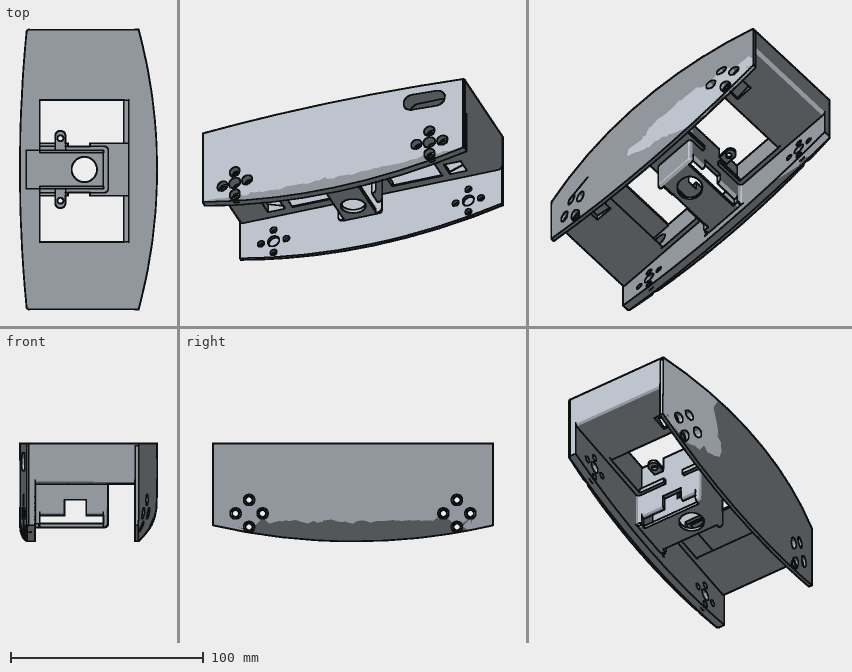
import cadquery as cq
import math

WIDTH = 71.35
LENGTH = 145.4
HEIGHT = 50.84
CUT_MARGIN = 5.0
half_length = LENGTH / 2

left_end_x = 3.6
left_foot_x = 3.9
left_curl_depth = 41.9
left_curl_mid = (0.28, 0.64)
left_curl_end_slope = 0.2
right_end_x = 61.7
right_foot_x = 61.6
right_curl_depth = 26.3
right_curl_mid = (0.26, 0.62)
right_curl_end_slope = 0.38
skirt_end_depth = 42.5
shell_sections = 9

end_inset = 0.15
end_inset_x = (4.7, 60.0)
end_wall = 2.2
end_bottom_radius = 2.0
corner_chamfer = (1.1, 0.7)

top_plate = 1.3
bracket_top = 18.2
channel_top = 21.1
left_inner_x = 8.0
cavity_right_x = 56.5
cavity_fillet = 2.6
channel_right_x = 59.7
ramp_start_y = 41.5
ramp_slope = 0.364
ramp_hole_size = 9.4
ramp_hole_x = 45.3
ramp_hole_offset = 4.2

opening_left_x = 10.4
opening_y = (-37.5, 36.0)

pocket_left_x = 3.5
pocket_right_x = 43.4
pocket_half_y = 9.9
holder_right_x = 45.9
holder_half_y = 12.0
holder_top = 1.0
holder_corner_radius = 2.0
leg_bottom = 37.4
leg_bottom_radius = 1.7
leg_notch_x = (23.3, 34.5)
leg_notch_top = 29.3
root_fillet = 1.8
floor_top = 41.5
floor_bottom = 43.6
floor_half_y = 8.9
floor_hole_diameter = 13.0
floor_hole_x = 33.5
bracket_half_y = 13.7
left_bracket_end_x = 25.1
right_bracket_start_x = 36.4

ear_x = 21.1
ear_width = 5.4
ear_tip_y = 20.1
ear_top = 8.6
ear_thickness = 2.0
ear_hole_diameter = 3.0
ear_hole_y = 16.2

mount_y = 53.9
mount_depth = 36.3
mount_hole_radius = 7.0
screw_diameter = 3.5
screw_head_diameter = 5.7
screw_head_depth = 4.0
shaft_diameter = 6.3
shaft_recess_depth = 1.8
slot_y = (-62.3, -40.0)
slot_depths = (4.8, 14.2)


def block(x, y, depths):
    """Box between two x values, two y values and two depths below the top face."""
    size = (x[1] - x[0], y[1] - y[0], depths[1] - depths[0])
    return cq.Workplane("XY").box(*size, centered=False).translate((x[0], y[0], -depths[1]))


def symmetric_block(x, half_y, depths):
    return block(x, (-half_y, half_y), depths)


def rod(diameter, x, y, depth):
    """Cylinder along X between two x values."""
    plane = cq.Workplane("YZ", origin=(x[0], y, -depth))
    return plane.circle(diameter / 2).extrude(x[1] - x[0])


def both_ends(solid):
    return solid.union(solid.mirror("XZ"))


def bow(end_value, middle_value, y):
    """Circular arc that passes end_value at both ends and middle_value at y = 0."""
    rise = abs(middle_value - end_value)
    radius = (half_length**2 + rise**2) / (2 * rise)
    drop = radius - math.sqrt(radius**2 - y**2)
    return middle_value + math.copysign(drop, end_value - middle_value)


def left_face_x(y):
    return bow(left_end_x, 0, y)


def right_face_x(y):
    return bow(right_end_x, WIDTH, y)


def shell_section(y):
    """Cross-section at y: upright sides that curl inward to the foot at the bottom."""
    left_x = left_face_x(y)
    right_x = right_face_x(y)
    foot_z = -bow(skirt_end_depth, HEIGHT, y)

    left_width = left_foot_x - left_x
    left_height = -left_curl_depth - foot_z
    left_mid = (
        left_x + left_curl_mid[0] * left_width,
        -left_curl_depth - left_curl_mid[1] * left_height,
    )
    left_end_tangent = (-left_width, left_curl_end_slope * left_height)

    right_width = right_x - right_foot_x
    right_height = -right_curl_depth - foot_z
    right_mid = (
        right_x - right_curl_mid[0] * right_width,
        -right_curl_depth - right_curl_mid[1] * right_height,
    )
    right_end_tangent = (-right_width, -right_curl_end_slope * right_height)

    return (
        cq.Workplane("XZ", origin=(0, y, 0))
        .moveTo(left_x, 0)
        .lineTo(right_x, 0)
        .lineTo(right_x, -right_curl_depth)
        .spline(
            [right_mid, (right_foot_x, foot_z)],
            tangents=[(0, -1), right_end_tangent],
            includeCurrent=True,
        )
        .lineTo(left_foot_x, foot_z)
        .spline(
            [left_mid, (left_x, -left_curl_depth)],
            tangents=[left_end_tangent, (0, 1)],
            includeCurrent=True,
        )
        .close()
        .val()
    )


def outer_shell():
    """Solid block lofted along Y through evenly spaced cross-sections."""
    spacing = LENGTH / (shell_sections - 1)
    sections = [shell_section(-half_length + i * spacing) for i in range(shell_sections)]
    return cq.Workplane(obj=cq.Solid.makeLoft(sections))


def end_trim():
    """Material removed at both ends: inset wall, rounded lower edge, left corner chamfer."""
    end_y = half_length - end_inset
    past_end = half_length + CUT_MARGIN
    inset = block(end_inset_x, (end_y, past_end), (0, HEIGHT))
    upper_inset = block((end_inset_x[1], WIDTH), (end_y, past_end), (0, top_plate))
    channel_x = (left_inner_x, channel_right_x)
    edge = block(
        channel_x,
        (end_y - end_bottom_radius, end_y),
        (channel_top - end_bottom_radius, channel_top),
    )
    edge = edge.cut(
        rod(
            2 * end_bottom_radius,
            channel_x,
            end_y - end_bottom_radius,
            channel_top - end_bottom_radius,
        )
    )
    chamfer_x, chamfer_y = corner_chamfer
    corner = (
        cq.Workplane("XY", origin=(0, 0, -HEIGHT))
        .moveTo(left_end_x, half_length - chamfer_y)
        .lineTo(left_end_x + chamfer_x, half_length)
        .lineTo(left_end_x - chamfer_x, half_length)
        .lineTo(left_end_x - chamfer_x, half_length - chamfer_y)
        .close()
        .extrude(HEIGHT)
    )
    return both_ends(inset.union(upper_inset).union(edge).union(corner))


def cavity():
    """Space under the top plate; its floor rises as a ramp towards both ends."""
    cavity_end_y = half_length - end_inset - end_wall
    ramp_end_z = -channel_top + ramp_slope * (cavity_end_y - ramp_start_y)
    space = (
        cq.Workplane("YZ", origin=(opening_left_x, 0, 0))
        .moveTo(-cavity_end_y, -top_plate)
        .lineTo(-cavity_end_y, ramp_end_z)
        .lineTo(-ramp_start_y, -channel_top)
        .lineTo(ramp_start_y, -channel_top)
        .lineTo(cavity_end_y, ramp_end_z)
        .lineTo(cavity_end_y, -top_plate)
        .close()
        .extrude(cavity_right_x - opening_left_x)
    )
    floor_edges = cq.selectors.BoxSelector(
        (cavity_right_x - 1, -cavity_end_y + 1, -channel_top - 1),
        (cavity_right_x + 1, cavity_end_y - 1, -top_plate - 1),
    )
    return space.edges(floor_edges).fillet(cavity_fillet)


def openings():
    """Opening in the top plate, holes through the ramps and the underside channel."""
    top = block((opening_left_x, cavity_right_x), opening_y, (0, top_plate))
    ramp_hole_y = ramp_start_y + ramp_hole_offset
    ramp_hole = block(
        (ramp_hole_x, ramp_hole_x + ramp_hole_size),
        (ramp_hole_y, ramp_hole_y + ramp_hole_size),
        (top_plate, channel_top),
    )
    channel = symmetric_block(
        (left_inner_x, channel_right_x), half_length, (channel_top, HEIGHT)
    )
    return top.union(both_ends(ramp_hole)).union(channel)


def root_fillets():
    """Concave fillets where the holder legs meet the left wall."""
    fillet = block(
        (left_inner_x, left_inner_x + root_fillet),
        (holder_half_y, holder_half_y + root_fillet),
        (top_plate, floor_bottom),
    )
    hollow = (
        cq.Workplane("XY", origin=(left_inner_x, holder_half_y, -floor_bottom))
        .center(root_fillet, root_fillet)
        .circle(root_fillet)
        .extrude(floor_bottom)
    )
    return both_ends(fillet.cut(hollow))


def holder():
    """U-shaped walls, open to the left, with brackets tying them to both side walls."""
    walls = symmetric_block((left_inner_x, holder_right_x), holder_half_y, (holder_top, floor_bottom))
    walls = walls.edges("|Z and >X").fillet(holder_corner_radius)
    walls = walls.edges(">X and <Z").fillet(holder_corner_radius)
    leg_gap = symmetric_block(
        (opening_left_x, pocket_right_x), holder_half_y, (leg_bottom, floor_bottom)
    )
    walls = walls.cut(leg_gap)
    leg_edges = cq.selectors.BoxSelector(
        (opening_left_x, -holder_half_y - 1, -leg_bottom - 1),
        (pocket_right_x, holder_half_y + 1, -leg_bottom + 1),
    )
    walls = walls.edges(leg_edges).edges("|X").fillet(leg_bottom_radius)

    bracket_depths = (bracket_top, channel_top)
    left_bracket = symmetric_block((left_inner_x, left_bracket_end_x), bracket_half_y, bracket_depths)
    right_bracket = symmetric_block(
        (right_bracket_start_x, cavity_right_x), bracket_half_y, bracket_depths
    )
    leg_notch = symmetric_block(leg_notch_x, holder_half_y, (leg_notch_top, floor_bottom))
    ear_slit_x = (ear_x - ear_width / 2, ear_x + ear_width / 2)
    ear_slit = symmetric_block(ear_slit_x, holder_half_y, (holder_top, ear_top))
    walls = walls.cut(leg_notch).cut(ear_slit)
    return walls.union(left_bracket).union(right_bracket).union(root_fillets())


def ears():
    """Round-ended screw ears standing out from both holder legs."""
    round_center_y = ear_tip_y - ear_width / 2
    arm_x = (ear_x - ear_width / 2, ear_x + ear_width / 2)
    ear_bottom = ear_top + ear_thickness
    arm = block(arm_x, (pocket_half_y, round_center_y), (ear_top, ear_bottom))
    base = cq.Workplane("XY", origin=(ear_x, 0, -ear_bottom))
    tip = base.center(0, round_center_y).circle(ear_width / 2).extrude(ear_thickness)
    hole = base.center(0, ear_hole_y).circle(ear_hole_diameter / 2).extrude(ear_thickness)
    return both_ends(arm.union(tip).cut(hole))


def pocket():
    """Space inside the holder, reaching into the left wall down to the floor."""
    return symmetric_block((pocket_left_x, pocket_right_x), pocket_half_y, (0, floor_top))


def pocket_slits():
    """Clearance on both sides of the floor plate, leaving it narrower than the pocket."""
    gap = block(
        (opening_left_x, pocket_right_x),
        (floor_half_y, holder_half_y),
        (floor_top, floor_bottom),
    )
    return both_ends(gap)


def pocket_floor():
    plate = symmetric_block((left_inner_x, pocket_right_x), floor_half_y, (floor_top, floor_bottom))
    hole = (
        cq.Workplane("XY", origin=(floor_hole_x, 0, -floor_bottom))
        .circle(floor_hole_diameter / 2)
        .extrude(floor_bottom - floor_top)
    )
    return plate.cut(hole)


def mount_holes():
    """Four counterbored screw holes around a shaft hole, at both ends of both walls."""
    left_face = left_face_x(mount_y)
    right_face = right_face_x(mount_y)
    left_head_x = (-CUT_MARGIN, left_face + screw_head_depth)
    right_head_x = (right_face - screw_head_depth, WIDTH + CUT_MARGIN)
    holes = rod(shaft_diameter, (0, channel_right_x + shaft_recess_depth), mount_y, mount_depth)
    for y_step, z_step in ((1, 0), (-1, 0), (0, 1), (0, -1)):
        y = mount_y + y_step * mount_hole_radius
        depth = mount_depth + z_step * mount_hole_radius
        holes = holes.union(rod(screw_diameter, (-CUT_MARGIN, WIDTH + CUT_MARGIN), y, depth))
        holes = holes.union(rod(screw_head_diameter, left_head_x, y, depth))
        holes = holes.union(rod(screw_head_diameter, right_head_x, y, depth))
    return both_ends(holes)


def cable_slot():
    """Round-ended slot through the left wall into the cavity."""
    length = slot_y[1] - slot_y[0]
    height = slot_depths[1] - slot_depths[0]
    center = (0, sum(slot_y) / 2, -sum(slot_depths) / 2)
    return cq.Workplane("YZ", origin=center).slot2D(length, height).extrude(opening_left_x)


result = outer_shell().cut(cavity()).cut(openings()).cut(end_trim())
result = result.union(holder()).cut(pocket()).cut(pocket_slits())
result = result.union(pocket_floor()).union(ears())
result = result.cut(mount_holes()).cut(cable_slot())